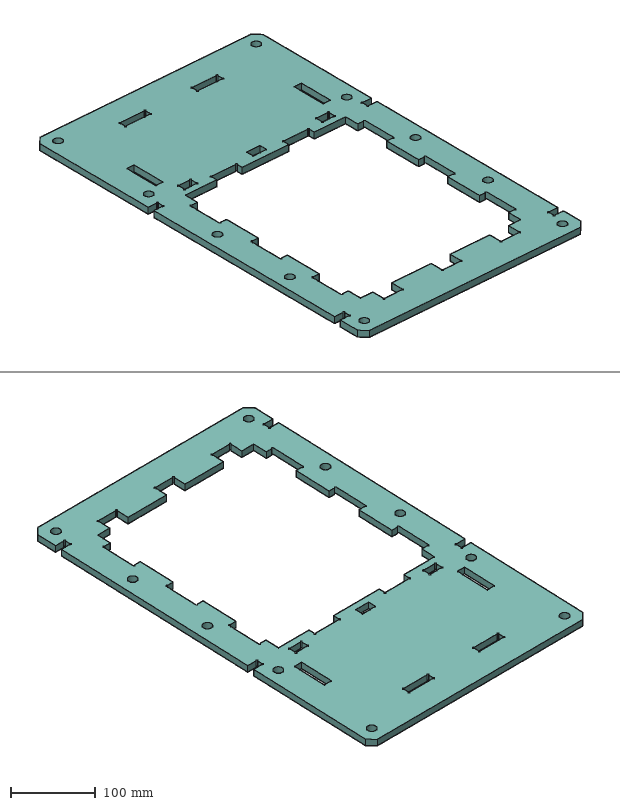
import cadquery as cq

length = 575
width = 356.0
thickness = 10.0
corner_chamfer = 10.0

bolt_diameter = 12.5
bolt_edge_inset = 20.0
bolt_positions_x = (20.0, 178, 298.5, 425.0, 555.0)

opening_left = 209.5
opening_right = 515.0
opening_half_width = 127.5
opening_center_x = (opening_left + opening_right) / 2

side_notch_length = 50.5
side_notch_depth = 11.5
side_notch_pitch = 106.5
left_notch_length = 40
left_notch_depth = 10.0
right_notch_length = 30.0
right_notch_depth = 19.5
right_notch_pitch = 93.0

cross_slot_width = 10.0
cross_slot_length = left_notch_length
cross_slot_x = 45.0
cross_slot_y = 57.5

long_slot_x = 145.0

window_x = 194.0
outer_window_width = 11.0
outer_window_length = 19.5
outer_window_y = 110.0
middle_window_width = 11.5
middle_window_length = 21.0

edge_slot_width = 10.0
edge_slot_depth = 15.0
edge_slot_positions_x = (
    opening_left - left_notch_depth + edge_slot_width / 2,
    opening_right + right_notch_depth - edge_slot_width / 2,
)

relief_radius = 1.0


def box_cutter(x_min, x_max, y_min, y_max):
    """Rectangular cutter through the full thickness."""
    return cq.Workplane("XY").box(
        x_max - x_min, y_max - y_min, thickness, centered=False
    ).translate((x_min, y_min, 0))


def centered_cutter(x, y, size_x, size_y):
    """Rectangular cutter given by its centre and size."""
    return box_cutter(x - size_x / 2, x + size_x / 2, y - size_y / 2, y + size_y / 2)


def relief_cutter(corners):
    """Relief circles at the given corner points."""
    return cq.Workplane("XY").pushPoints(corners).circle(relief_radius).extrude(thickness)


def relieved_cutter(x, y, size_x, size_y):
    """Rectangular cutter with a relief circle on all four corners."""
    corners = [
        (x + sign_x * size_x / 2, y + sign_y * size_y / 2)
        for sign_x in (-1, 1)
        for sign_y in (-1, 1)
    ]
    return centered_cutter(x, y, size_x, size_y).union(relief_cutter(corners))


def end_notch(edge_x, bottom_x, y, notch_length):
    """Notch in an end of the opening, relieved at its two bottom corners."""
    y_min = y - notch_length / 2
    y_max = y + notch_length / 2
    notch = box_cutter(min(edge_x, bottom_x), max(edge_x, bottom_x), y_min, y_max)
    return notch.union(relief_cutter([(bottom_x, y_min), (bottom_x, y_max)]))


def crosswise_notch(x, notch_length, edge_y, bottom_y, relief_y):
    """Notch running in Y from an edge, with a relief circle on both side walls at relief_y."""
    x_min = x - notch_length / 2
    x_max = x + notch_length / 2
    notch = box_cutter(x_min, x_max, min(edge_y, bottom_y), max(edge_y, bottom_y))
    return notch.union(relief_cutter([(x_min, relief_y), (x_max, relief_y)]))


def side_notch(x, side):
    """Notch in a long side of the opening (side is +1 or -1), reliefs tangent to its bottom."""
    edge_y = side * opening_half_width
    bottom_y = edge_y + side * side_notch_depth
    relief_y = bottom_y - side * relief_radius
    return crosswise_notch(x, side_notch_length, edge_y, bottom_y, relief_y)


def edge_slot(x, side):
    """Slot open to a long edge of the plate (side is +1 or -1), reliefs centred on its corners."""
    edge_y = side * width / 2
    bottom_y = edge_y - side * edge_slot_depth
    return crosswise_notch(x, edge_slot_width, edge_y, bottom_y, bottom_y)


plate = (
    cq.Workplane("XY")
    .box(length, width, thickness, centered=(False, True, False))
    .edges("|Z")
    .chamfer(corner_chamfer)
)

bolt_y = width / 2 - bolt_edge_inset
bolt_points = [(x, side * bolt_y) for x in bolt_positions_x for side in (-1, 1)]
plate = plate.cut(
    cq.Workplane("XY").pushPoints(bolt_points).circle(bolt_diameter / 2).extrude(thickness)
)

plate = plate.cut(box_cutter(opening_left, opening_right, -opening_half_width, opening_half_width))

side_notch_y = opening_half_width + side_notch_depth / 2
for side in (-1, 1):
    for step in (-1, 0, 1):
        notch_x = opening_center_x + step * side_notch_pitch
        plate = plate.cut(side_notch(notch_x, side))
    plate = plate.cut(
        centered_cutter(long_slot_x, side * side_notch_y, side_notch_length, side_notch_depth)
    )
    plate = plate.cut(
        end_notch(opening_left, opening_left - left_notch_depth, side * cross_slot_y, left_notch_length)
    )
    plate = plate.cut(
        relieved_cutter(cross_slot_x, side * cross_slot_y, cross_slot_width, cross_slot_length)
    )
    plate = plate.cut(
        relieved_cutter(window_x, side * outer_window_y, outer_window_width, outer_window_length)
    )
    for slot_x in edge_slot_positions_x:
        plate = plate.cut(edge_slot(slot_x, side))

for step in (-1, 0, 1):
    plate = plate.cut(
        end_notch(
            opening_right,
            opening_right + right_notch_depth,
            step * right_notch_pitch,
            right_notch_length,
        )
    )

plate = plate.cut(centered_cutter(window_x, 0, middle_window_width, middle_window_length))

result = plate